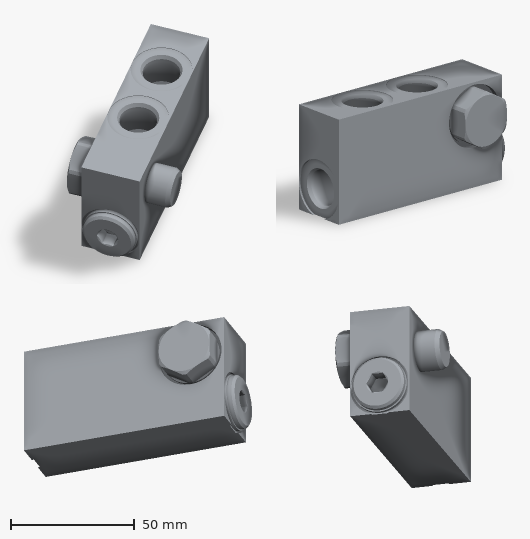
import cadquery as cq
import math

hexagon_corner_ratio = 1 / math.cos(math.pi / 6)

block_width = 25.0
block_length = 86.6
block_height = 45.0

top_port_count = 2
port_diameter = 15.2
port_mouth_diameter = 17.05
port_depth = 14.4
spotface_diameter = 25.0
top_spotface_depth = 0.3
first_top_port_y = 34.55
top_port_spacing = 28.95

plug_axis_z = 12.0
end_spotface_depth = 0.9

flange_diameter = 23.0
flange_projection = 0.6
plug_diameter = 22.0
overall_length = 90.2
plug_projection = overall_length - block_length
plug_chamfer = 1.0
socket_flats = 8.0
socket_corners = socket_flats * hexagon_corner_ratio
socket_depth = 6.3
socket_drill_half_angle = 59.0

bolt_axis_y = 14.6
bolt_axis_z = 30.5
bolt_spotface_diameter = 27.0
bolt_spotface_depth = 2.5
washer_diameter = 24.0
washer_thickness = 1.0
head_projection = 7.5
head_flats = 22.0
head_corners = head_flats * hexagon_corner_ratio
head_corner_diameter = 24.5
head_face_diameter = 21.8
stud_diameter = 16.7
stud_projection = 10.55
stud_tip_diameter = 14.6

bevel_angle = 30.0
bevel_slope = math.tan(math.radians(bevel_angle))

front = cq.Plane(origin=(0, 0, plug_axis_z), xDir=(1, 0, 0), normal=(0, -1, 0))
back = cq.Plane(origin=(0, block_length, plug_axis_z), xDir=(-1, 0, 0), normal=(0, 1, 0))
bolt_left = cq.Plane(origin=(-block_width / 2, bolt_axis_y, bolt_axis_z), xDir=(0, 0, 1), normal=(-1, 0, 0))
bolt_right = cq.Plane(origin=(block_width / 2, bolt_axis_y, bolt_axis_z), xDir=(0, 0, 1), normal=(1, 0, 0))


def top_plane(y):
    return cq.Plane(origin=(0, y, block_height), xDir=(1, 0, 0), normal=(0, 0, 1))


def disc(plane, diameter, start, end):
    """Cylinder on the plane's axis, between two heights along its normal."""
    return cq.Workplane(plane).workplane(offset=start).circle(diameter / 2).extrude(end - start)


def hexagon(plane, corners, start, end):
    """Hexagonal prism with corners on the plane's x direction."""
    return cq.Workplane(plane).workplane(offset=start).polygon(6, corners).extrude(end - start)


def cone(plane, base_diameter, tip_diameter, start, end):
    """Cone along the plane's normal; a zero tip diameter gives a sharp point."""
    along = plane.zDir * (end - start)
    base = plane.toWorldCoords((0, 0, start))
    return cq.Workplane(
        cq.Solid.makeCone(base_diameter / 2, tip_diameter / 2, along.Length, pnt=base, dir=along)
    )


def port(plane, spotface_depth):
    """Cutter for a spotface and a blind bore with a bevelled mouth."""
    mouth_depth = (port_mouth_diameter - port_diameter) / 2 / bevel_slope
    spotface = disc(plane, spotface_diameter, -spotface_depth, 0)
    bore = disc(plane, port_diameter, -port_depth, 0)
    mouth = cone(plane, port_mouth_diameter, port_diameter, -spotface_depth, -spotface_depth - mouth_depth)
    return spotface.union(bore).union(mouth)


def front_plug():
    """Flanged plug seated in the front spotface."""
    plug = disc(front, plug_diameter, -end_spotface_depth, plug_projection)
    plug = plug.faces("<Y").chamfer(plug_chamfer)
    return plug.union(disc(front, flange_diameter, -end_spotface_depth, flange_projection))


def plug_socket():
    """Cutter for the hexagon socket, with a bevelled mouth and a drill point."""
    socket_floor = plug_projection - socket_depth
    point_length = socket_flats / 2 / math.tan(math.radians(socket_drill_half_angle))
    socket = hexagon(front, socket_corners, socket_floor, plug_projection)
    drill_point = cone(front, socket_flats, 0, socket_floor, socket_floor - point_length)
    mouth_depth = (socket_corners - socket_flats) / 2 * bevel_slope
    mouth = cone(front, socket_corners, socket_flats, plug_projection, plug_projection - mouth_depth)
    return socket.union(drill_point).union(mouth)


def bolt_head():
    """Washer and hexagon head with rounded corners and a bevelled outer face."""
    washer_top = washer_thickness - bolt_spotface_depth
    washer = disc(bolt_left, washer_diameter, -bolt_spotface_depth, washer_top)
    bevel_length = (head_corner_diameter - head_face_diameter) / 2 * bevel_slope
    bevel_start = head_projection - bevel_length
    blank = disc(bolt_left, head_corner_diameter, washer_top, bevel_start)
    blank = blank.union(cone(bolt_left, head_corner_diameter, head_face_diameter, bevel_start, head_projection))
    head = hexagon(bolt_left, head_corners, washer_top, head_projection).intersect(blank)
    return washer.union(head)


def bolt_stud():
    """Plain end of the bolt with a bevelled tip."""
    tip_bevel = (stud_diameter - stud_tip_diameter) / 2
    stud = disc(bolt_right, stud_diameter, 0, stud_projection)
    return stud.faces(">X").chamfer(tip_bevel / bevel_slope, tip_bevel)


block = cq.Workplane("XY").box(block_width, block_length, block_height, centered=(True, False, False))
for index in range(top_port_count):
    block = block.cut(port(top_plane(first_top_port_y + index * top_port_spacing), top_spotface_depth))
block = block.cut(port(back, end_spotface_depth))
block = block.cut(disc(front, spotface_diameter, -end_spotface_depth, 0))
block = block.cut(disc(bolt_left, bolt_spotface_diameter, -bolt_spotface_depth, 0))

result = block.union(front_plug()).cut(plug_socket()).union(bolt_head()).union(bolt_stud())